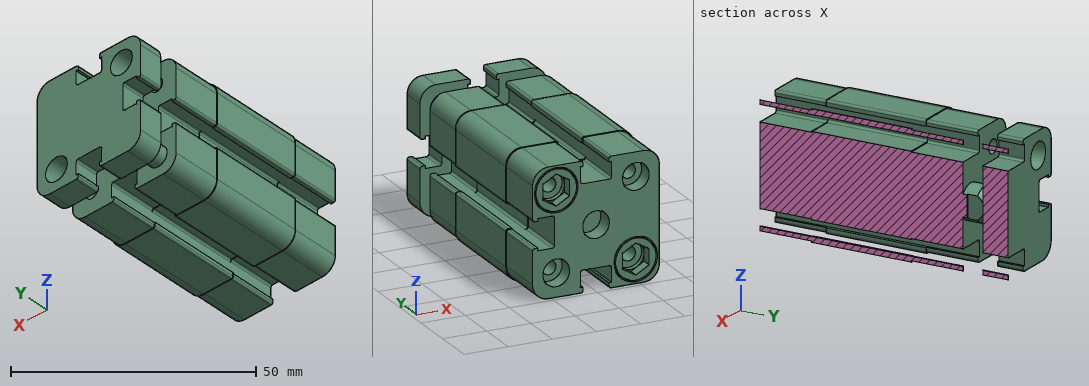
import cadquery as cq
import math


total_length = 58.5
cap_length = 12.15
barrel_length = 23.5
plate_thickness = 6.0
barrel_start = cap_length
rear_cap_start = barrel_start + barrel_length
rear_cap_end = rear_cap_start + cap_length
plate_start = total_length - plate_thickness
gap_length = plate_start - rear_cap_end

barrel_width = 29.1
barrel_step = 0.2
cap_width = barrel_width - 2 * barrel_step
corner_radius = 3.55

cap_slot_opening = 5.85
barrel_slot_opening = 5.45
slot_width = 7.0
cap_slot_floor = 9.4
barrel_slot_floor = cap_slot_floor + barrel_step
slot_lip_inner = 13.15
slot_lip_radius = 0.5
slot_floor_radius = 0.5
slot_turns = (0, 90, 180)

hole_offset = 9.0
through_diameter = 3.2
mount_diameter = 6.0
mount_depth = 3.5
center_hole_depth = 4.0
screw_corners = [(-hole_offset, hole_offset), (hole_offset, -hole_offset)]
mount_corners = [(hole_offset, hole_offset), (-hole_offset, -hole_offset)]
head_diameter = 9.2
head_bore_diameter = 9.8
head_gap_depth = 0.6
hex_across_flats = mount_diameter
hex_depth = 2.35
socket_depth = mount_depth

guide_offset = 9.35
guide_diameter = 5.0
guide_corners = [(guide_offset, guide_offset), (-guide_offset, -guide_offset)]
piston_diameter = 8.0
piston_tip_diameter = 6.6
piston_chamfer_length = 1.2
piston_flat_width = 6.0
piston_flat_start = 1.1
rod_embed = 0.6
overshoot = 0.6


def section(y):
    """Sketch plane across the axis at y, with local x = X and local y = Z."""
    return cq.Workplane("XZ", origin=(0, y, 0))


def cylinders(points, diameter, start, length):
    """Equal cylinders along +Y, starting at start."""
    return section(start).pushPoints(points).circle(diameter / 2).extrude(-length)


def slot(half_side, opening, floor, start, length):
    """Undercut slot in the top side, with rounded lips and rounded floor corners."""
    lip = opening / 2
    lip_edge = lip + slot_lip_radius
    wall = slot_width / 2
    floor_edge = wall - slot_floor_radius
    clear = half_side + overshoot
    return (
        section(start)
        .moveTo(lip_edge, clear)
        .lineTo(lip_edge, half_side)
        .radiusArc((lip, half_side - slot_lip_radius), -slot_lip_radius)
        .lineTo(lip, slot_lip_inner)
        .lineTo(wall, slot_lip_inner)
        .lineTo(wall, floor + slot_floor_radius)
        .radiusArc((floor_edge, floor), slot_floor_radius)
        .lineTo(-floor_edge, floor)
        .radiusArc((-wall, floor + slot_floor_radius), slot_floor_radius)
        .lineTo(-wall, slot_lip_inner)
        .lineTo(-lip, slot_lip_inner)
        .lineTo(-lip, half_side - slot_lip_radius)
        .radiusArc((-lip_edge, half_side), -slot_lip_radius)
        .lineTo(-lip_edge, clear)
        .close()
        .extrude(-length)
    )


def slotted_block(width, opening, floor, start, length):
    """Rounded square block with the same slot on three of its sides."""
    block = section(start).rect(width, width).extrude(-length).edges("|Y").fillet(corner_radius)
    cutter = slot(width / 2, opening, floor, start, length)
    for turn in slot_turns:
        block = block.cut(cutter.rotate((0, 0, 0), (0, 1, 0), -turn))
    return block


def cap_block(start, length):
    """Block with the narrower cross-section shared by both caps and the plate."""
    return slotted_block(cap_width, cap_slot_opening, cap_slot_floor, start, length)


def screw_recesses():
    """Ring gap around each screw head, hexagon socket with a round bottom, and through bore."""
    ring = (
        section(0)
        .pushPoints(screw_corners)
        .circle(head_bore_diameter / 2)
        .circle(head_diameter / 2)
        .extrude(-head_gap_depth)
    )
    hex_diameter = hex_across_flats / math.cos(math.pi / 6)
    hexagon = section(0).polygon(6, hex_diameter).extrude(-hex_depth).rotate((0, 0, 0), (0, 1, 0), 90)
    recesses = ring.union(cylinders(screw_corners, hex_across_flats, 0, socket_depth))
    recesses = recesses.union(cylinders(screw_corners, through_diameter, 0, rear_cap_end))
    for x, z in screw_corners:
        recesses = recesses.union(hexagon.translate((x, 0, z)))
    return recesses


def mounting_holes():
    """Stepped holes in the other two corners and a plain blind hole on the axis."""
    holes = cylinders(mount_corners, mount_diameter, 0, mount_depth)
    holes = holes.union(cylinders(mount_corners, through_diameter, 0, cap_length))
    return holes.union(cylinders([(0, 0)], mount_diameter, 0, center_hole_depth))


def piston_rod():
    """Rod tapering toward the plate, with wrench flats on its X sides that run out at 45 degrees."""
    radius = piston_diameter / 2
    tip_radius = piston_tip_diameter / 2
    base = rear_cap_end - rod_embed
    rod = (
        cq.Workplane("XY")
        .moveTo(0, base)
        .lineTo(radius, base)
        .lineTo(radius, plate_start - piston_chamfer_length)
        .lineTo(tip_radius, plate_start)
        .lineTo(tip_radius, plate_start + rod_embed)
        .lineTo(0, plate_start + rod_embed)
        .close()
        .revolve(360, (0, 0, 0), (0, 1, 0))
    )
    flat = piston_flat_width / 2
    flat_start = rear_cap_end + piston_flat_start
    runout = piston_flat_start
    flat_cut = (
        cq.Workplane("XY")
        .moveTo(flat, flat_start)
        .lineTo(flat + runout, flat_start - runout)
        .lineTo(flat + runout, plate_start)
        .lineTo(flat, plate_start)
        .close()
        .extrude(piston_diameter, both=True)
    )
    return rod.cut(flat_cut).cut(flat_cut.mirror("YZ"))


body = cap_block(0, cap_length)
body = body.union(
    slotted_block(barrel_width, barrel_slot_opening, barrel_slot_floor, barrel_start, barrel_length)
)
body = body.union(cap_block(rear_cap_start, cap_length))
body = body.cut(screw_recesses()).cut(mounting_holes())

plate = cap_block(plate_start, plate_thickness)
plate = plate.cut(cylinders(screw_corners, mount_diameter, plate_start, plate_thickness))

guides = cylinders(guide_corners, guide_diameter, rear_cap_end - rod_embed, gap_length + 2 * rod_embed)

result = body.union(plate).union(guides).union(piston_rod())